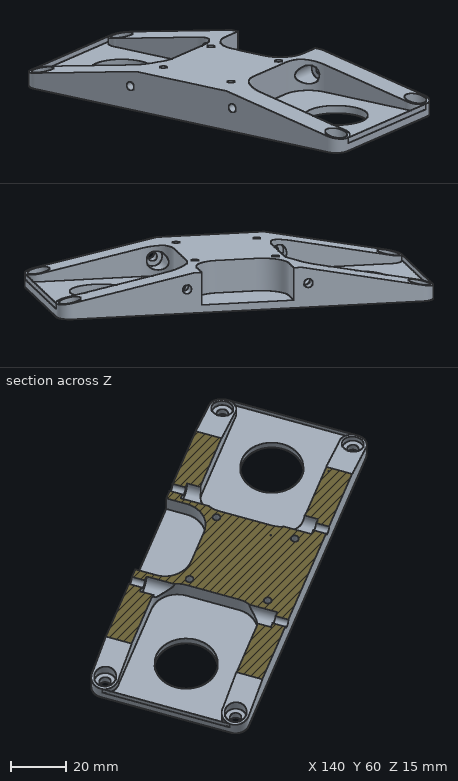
import cadquery as cq

length = 140.0
width = 60.0
height = 15.0
end_height = 5.0
flat_top_length = 40.0
corner_radius = 5.0

floor_height = 3.0
recess_radius = 10.0
pocket_width = 40.0
pocket_inner_x = 18.0
end_lip = 0.03
notch_width = 34.2
notch_depth = 17.9

window_diameter = 23.0
window_x = 47.5
corner_hole_diameter = 4.2
corner_bore_diameter = 8.0
corner_bore_floor = floor_height
top_hole_diameter = 2.7
top_hole_x = 15.0
top_hole_front_y = -20.0
top_hole_back_y = 10.0
side_hole_diameter = 3.2
side_bore_diameter = 7.0
side_wall_left = 5.0
side_hole_x = 22.5
side_hole_z = 9.0

corner_x = length / 2 - corner_radius
corner_y = width / 2 - corner_radius
corner_points = [(x, y) for x in (-corner_x, corner_x) for y in (-corner_y, corner_y)]


def vertical_cylinders(points, diameter, bottom=0.0):
    """Cylinders from the bottom height up to the top of the body."""
    return (
        cq.Workplane("XY", origin=(0, 0, bottom))
        .pushPoints(points)
        .circle(diameter / 2)
        .extrude(height - bottom)
    )


def box_above_floor(x_min, x_max, y_min, y_max):
    """Rectangular block from the recess floor to the top of the body."""
    return (
        cq.Workplane("XY", origin=(0, 0, floor_height))
        .center((x_min + x_max) / 2, (y_min + y_max) / 2)
        .rect(x_max - x_min, y_max - y_min)
        .extrude(height - floor_height)
    )


def make_body():
    """Plate with a flat middle, sloping ends and rounded vertical corners."""
    half_length = length / 2
    half_flat = flat_top_length / 2
    return (
        cq.Workplane("XZ")
        .moveTo(-half_length, 0)
        .lineTo(half_length, 0)
        .lineTo(half_length, end_height)
        .lineTo(half_flat, height)
        .lineTo(-half_flat, height)
        .lineTo(-half_length, end_height)
        .close()
        .extrude(width / 2, both=True)
        .edges("|Z and (<X or >X)")
        .fillet(corner_radius)
    )


def make_right_pocket():
    """End pocket that widens around the round corner bosses."""
    outer_x = length / 2 - end_lip
    pocket = box_above_floor(
        pocket_inner_x, outer_x, -pocket_width / 2, pocket_width / 2
    ).edges("|Z and <X").fillet(recess_radius)
    widening = box_above_floor(corner_x, outer_x, -corner_y, corner_y)
    bosses = vertical_cylinders(corner_points, 2 * corner_radius)
    return pocket.union(widening).cut(bosses)


def make_notch():
    """Round-cornered notch open through the back side."""
    back_y = width / 2
    return box_above_floor(
        -notch_width / 2, notch_width / 2, back_y - notch_depth, back_y
    ).edges("|Z and <Y").fillet(recess_radius)


def make_side_holes():
    """Cross holes along Y, counterbored into both side walls from the end pockets."""
    plane = cq.Workplane("XZ").pushPoints([(x, side_hole_z) for x in (-side_hole_x, side_hole_x)])
    holes = plane.circle(side_hole_diameter / 2).extrude(width / 2, both=True)
    bores = plane.circle(side_bore_diameter / 2).extrude(width / 2 - side_wall_left, both=True)
    return holes.union(bores)


right_pocket = make_right_pocket()
window_points = [(-window_x, 0), (window_x, 0)]
top_hole_points = [
    (x, y) for x in (-top_hole_x, top_hole_x) for y in (top_hole_front_y, top_hole_back_y)
]

result = (
    make_body()
    .cut(right_pocket)
    .cut(right_pocket.mirror("YZ"))
    .cut(make_notch())
    .cut(vertical_cylinders(window_points, window_diameter))
    .cut(vertical_cylinders(corner_points, corner_hole_diameter))
    .cut(vertical_cylinders(corner_points, corner_bore_diameter, corner_bore_floor))
    .cut(vertical_cylinders(top_hole_points, top_hole_diameter))
    .cut(make_side_holes())
)